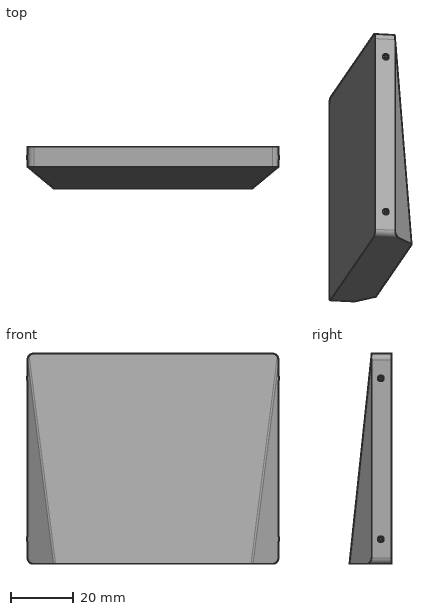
import cadquery as cq

plate_width = 80.8
plate_height = 67.75
plate_thickness = 6.5
bottom_depth = 13.65
corner_radius = 2.0

side_inset = 8.6
front_edge_radius = 1.0

overall_width = 81.2
bump_height = (overall_width - plate_width) / 2
bump_base_radius = 1.0
bump_tip_radius = 0.45
bump_end_distance = 8.0
bump_back_distance = 3.5

half_width = plate_width / 2
half_height = plate_height / 2
front_half_width = half_width - side_inset


def make_body():
    """Chamfer-sided prism cut back by a front face that slopes from top to bottom."""
    cross_section = [
        (-half_width, 0),
        (half_width, 0),
        (half_width, -plate_thickness),
        (front_half_width, -bottom_depth),
        (-front_half_width, -bottom_depth),
        (-half_width, -plate_thickness),
    ]
    prism = (
        cq.Workplane("XY")
        .workplane(offset=-half_height)
        .polyline(cross_section)
        .close()
        .extrude(plate_height)
    )
    side_profile = [
        (0, -half_height),
        (-bottom_depth, -half_height),
        (-plate_thickness, half_height),
        (0, half_height),
    ]
    wedge = cq.Workplane("YZ").polyline(side_profile).close().extrude(half_width, both=True)
    return prism.intersect(wedge)


def round_front_edges(body):
    """Soften the two slanted edges between the front face and the side walls."""
    middle_depth = (plate_thickness + bottom_depth) / 2
    middle_half_width = half_width - side_inset / 2
    for side in (-1, 1):
        edge_middle = (side * middle_half_width, -middle_depth, 0)
        body = body.edges(cq.selectors.NearestToPointSelector(edge_middle)).fillet(front_edge_radius)
    return body


def round_corners(body):
    """Trim the body to a rounded rectangle seen along Y."""
    outline = (
        cq.Workplane("XZ")
        .rect(plate_width, plate_height)
        .extrude(bottom_depth)
        .edges("|Y")
        .fillet(corner_radius)
    )
    return body.intersect(outline)


def make_bump(side, z):
    """Truncated cone standing outward from the left (-1) or right (+1) edge."""
    base_center = cq.Vector(side * half_width, -bump_back_distance, z)
    outward = cq.Vector(side, 0, 0)
    cone = cq.Solid.makeCone(bump_base_radius, bump_tip_radius, bump_height, base_center, outward)
    return cq.Workplane(obj=cone)


result = round_corners(round_front_edges(make_body()))

bump_z = half_height - bump_end_distance
for side in (-1, 1):
    for z in (-bump_z, bump_z):
        result = result.union(make_bump(side, z))